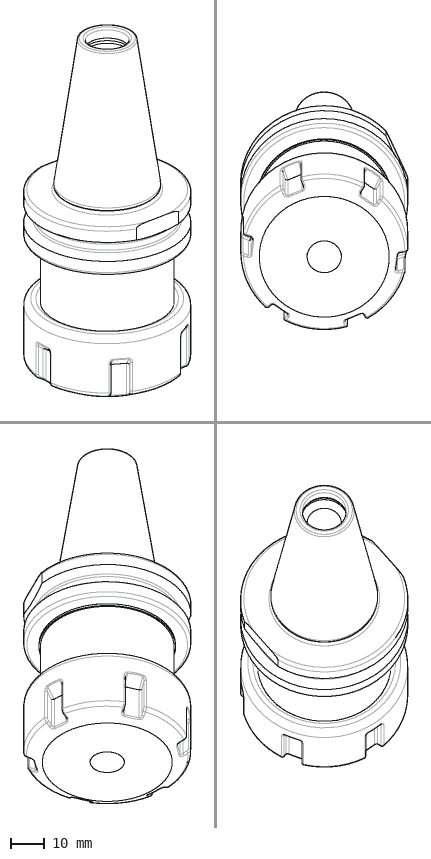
import cadquery as cq
import math

total_height = 110.8
flange_radius = 24.99

nut_radius = 24.9
nut_height = 22.9
nut_top_round = 2.1
nut_inner_round = 1.3
nut_nose_radius = 19.4
nut_nose_angle = math.radians(30)
nut_nose_round = 1.7

neck_radius = 19.9
collar_radius = 20.4
collar_height = 0.7

flange_bottom = 43.9
flange_top = 59.8
flange_edge_round = 1.0
groove_radius = 21.9
groove_root_round = 0.8
lower_rim_top = 48.6
upper_rim_bottom = 55.1
groove_side_angle = math.radians(30)
flat_distance = 23.6

taper_base = 61.9
taper_base_radius = 16.0
taper_top_radius = 8.9
taper_top_round = 0.5
relief_radius = 15.6
relief_round = 0.9
relief_height = 1.2

bore_radius = 5.1
mouth_radius = 6.5
mouth_round = 0.7
mouth_depth = 3.4
chamber_radius = 7.0
flare_height = 1.1
chamber_height = 0.9
drill_tip_angle = math.radians(45)

slot_count = 6
first_slot_angle = 30
slot_width = 5.9
slot_floor = 21.7
slot_floor_round = 0.7
slot_edge_round = 0.5
slot_ceiling = 12.2
tall_slot_ceiling = 14.3
slot_corner_round = 0.5
slot_overrun = 11.1


def revolve_profile(points):
    """Solid turned about the Z axis from (radius, height) points that start and end on the axis."""
    return cq.Workplane("XZ").polyline(points).close().revolve(360, (0, 0), (0, 1))


def slot_cutter(ceiling):
    """Pocket open outward and downward, its ceiling rising outward at 45 degrees."""
    reach = 2 * (nut_radius - slot_floor)
    trench = (
        cq.Workplane("XY", origin=(slot_floor + reach / 2, 0, -slot_overrun))
        .rect(reach, slot_width)
        .extrude(ceiling + reach + slot_overrun)
        .edges("<X and |Z")
        .fillet(slot_floor_round)
    )
    ceiling_wedge = (
        cq.Workplane("XZ")
        .moveTo(0, -slot_overrun)
        .lineTo(slot_floor + reach, -slot_overrun)
        .lineTo(slot_floor + reach, ceiling + reach)
        .lineTo(0, ceiling - slot_floor)
        .close()
        .extrude(slot_width / 2, both=True)
        .edges(cq.selectors.ParallelDirSelector(cq.Vector(1, 0, 1)))
        .fillet(slot_corner_round)
    )
    return trench.intersect(ceiling_wedge)


def is_slot_mouth(edge):
    """True for the slot edges that lie on the outer cylinder of the nut, between its rounded ends."""
    middle = edge.positionAt(0.5)
    on_cylinder = math.hypot(middle.x, middle.y) > nut_radius - 0.01
    is_rim = edge.geomType() == "CIRCLE"
    return on_cylinder and not is_rim


def make_nut():
    corner_height = (nut_radius - nut_nose_radius) * math.tan(nut_nose_angle)
    tangent_length = nut_nose_round * math.tan(math.pi / 4 - nut_nose_angle / 2)
    nut = (
        cq.Workplane("XZ")
        .lineTo(nut_nose_radius, 0)
        .lineTo(
            nut_radius - tangent_length * math.cos(nut_nose_angle),
            corner_height - tangent_length * math.sin(nut_nose_angle),
        )
        .radiusArc((nut_radius, corner_height + tangent_length), -nut_nose_round)
        .lineTo(nut_radius, nut_height - nut_top_round)
        .radiusArc((nut_radius - nut_top_round, nut_height), -nut_top_round)
        .lineTo(neck_radius + nut_inner_round, nut_height)
        .radiusArc((neck_radius, nut_height - nut_inner_round), -nut_inner_round)
        .lineTo(0, nut_height - nut_inner_round)
        .close()
        .revolve(360, (0, 0), (0, 1))
    )
    for i in range(slot_count):
        angle = first_slot_angle + i * 360 / slot_count
        ceiling = tall_slot_ceiling if angle < 180 else slot_ceiling
        nut = nut.cut(slot_cutter(ceiling).rotate((0, 0, 0), (0, 0, 1), angle))
    return nut.edges().filter(is_slot_mouth).fillet(slot_edge_round)


def make_neck():
    collar_base = flange_bottom - collar_height
    return revolve_profile([
        (0, 0.5 * nut_height),
        (neck_radius, 0.5 * nut_height),
        (neck_radius, collar_base),
        (collar_radius, collar_base),
        (collar_radius, flange_bottom),
        (0, flange_bottom),
    ])


def make_flange():
    side_rise = (flange_radius - groove_radius) * math.tan(groove_side_angle)
    flange = revolve_profile([
        (0, flange_bottom),
        (flange_radius, flange_bottom),
        (flange_radius, lower_rim_top),
        (groove_radius, lower_rim_top + side_rise),
        (groove_radius, upper_rim_bottom - side_rise),
        (flange_radius, upper_rim_bottom),
        (flange_radius, flange_top),
        (0, flange_top),
    ])
    flange = flange.edges(cq.selectors.RadiusNthSelector(0)).fillet(groove_root_round)
    flange = flange.edges("<Z or >Z").fillet(flange_edge_round)
    flat_base = 0.5 * (lower_rim_top + upper_rim_bottom)
    flat_height = flange_top - flat_base
    for side in (-1, 1):
        flange = flange.cut(
            cq.Workplane("XY")
            .box(flange_radius, 2 * flange_radius, flat_height, centered=(True, True, False))
            .translate((side * (flat_distance + flange_radius / 2), 0, flat_base))
        )
    return flange


def make_shank():
    shank = (
        cq.Workplane("XZ", origin=(0, 0, flange_top))
        .lineTo(relief_radius + relief_round, 0)
        .radiusArc((relief_radius, relief_round), relief_round)
        .lineTo(taper_base_radius, relief_height)
        .lineTo(taper_base_radius, taper_base - flange_top)
        .lineTo(taper_top_radius, total_height - flange_top)
        .lineTo(0, total_height - flange_top)
        .close()
        .revolve(360, (0, 0), (0, 1))
    )
    return shank.faces(">Z").edges().fillet(taper_top_round)


def make_bore():
    flare_top = total_height - mouth_depth
    chamber_top = flare_top - flare_height
    chamber_base = chamber_top - chamber_height
    tip_base = chamber_base - (chamber_radius - bore_radius) * math.tan(drill_tip_angle)
    return (
        cq.Workplane("XZ")
        .lineTo(bore_radius, 0)
        .lineTo(bore_radius, tip_base)
        .lineTo(chamber_radius, chamber_base)
        .lineTo(chamber_radius, chamber_top)
        .lineTo(mouth_radius, flare_top)
        .lineTo(mouth_radius, total_height - mouth_round)
        .radiusArc((mouth_radius + mouth_round, total_height), mouth_round)
        .lineTo(0, total_height)
        .close()
        .revolve(360, (0, 0), (0, 1))
    )


result = (
    make_nut()
    .union(make_neck())
    .union(make_flange())
    .union(make_shank())
    .cut(make_bore())
)